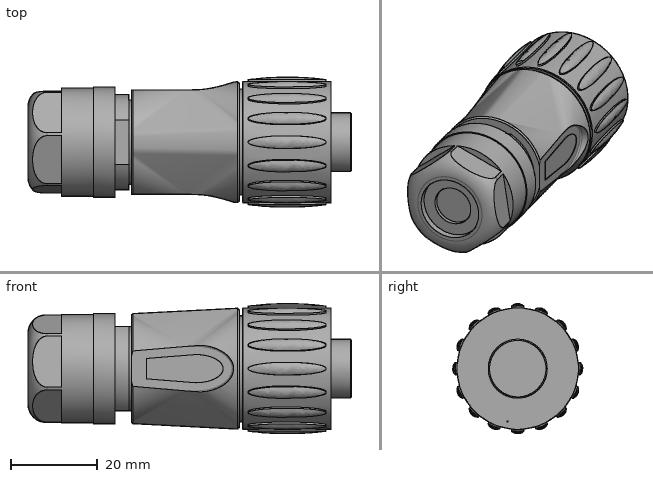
import cadquery as cq
import math


nut_hex_end = 7.74
nut_body_end = 15.1
nut_collar_end = 20.1
neck_end = 23.3
shell_start = 23.84
shell_end = 48.8
ring_start = 49.4
ring_end = 69.9
overall_length = 74.6

nut_radius = 25.0 / 2
nut_collar_radius = 25.5 / 2
hex_across_flats = 22.0
hex_flat_angle = 51.5
nose_radius = 4.4
bore_radius = 14.5 / 2
bore_depth = 1.7
seal_hole_radius = 9.0 / 2
seal_hole_depth = 1.0

neck_radius = 22.0 / 2
neck_across_flats = 19.5
neck_groove_radius = neck_across_flats / 2

shell_small_radius = 25.4 / 2
shell_large_radius = 28.0 / 2
shell_flare_sag = 0.28
shell_chamfer_start = 0.35
shell_chamfer_end = 0.5

window_plane = 12.03
window_half_width = 5.42
window_round_start = 39.0
window_tip = 47.4
window_floor_fillet = 0.3

frame_depth = 0.1
frame_start = 27.3
frame_start_half_width = 2.35
frame_half_width = 3.25
frame_round_start = 38.7
frame_tip = 45.0

groove_radius = 24.5 / 2
ring_radius = 28.0 / 2
ring_chamfer = 0.2
rib_count = 16
rib_length = 18.0
rib_width = 3.0
rib_center = 59.75
rib_wall_radius = 14.4
rib_tip_radius = 30.0 / 2
rib_root_depth = 1.0

spigot_radius = 13.6 / 2
spigot_chamfer = 0.3


def cylinder(x_start, x_end, radius):
    """Cylinder on the X axis between two positions."""
    return cq.Workplane("YZ", origin=(x_start, 0, 0)).circle(radius).extrude(x_end - x_start)


def revolve_about_x(profile):
    """Turn a closed XY profile about the X axis."""
    return profile.revolve(360, (0, 0, 0), (1, 0, 0))


def make_nut():
    nose_flat_radius = nut_radius - nose_radius
    nose_mid = nose_radius * (1 - math.sqrt(0.5))
    turned_nose = revolve_about_x(
        cq.Workplane("XY")
        .lineTo(0, nose_flat_radius)
        .threePointArc((nose_mid, nut_radius - nose_mid), (nose_radius, nut_radius))
        .lineTo(nut_hex_end, nut_radius)
        .lineTo(nut_hex_end, 0)
        .close()
    )
    hexagon = (
        cq.Workplane("YZ")
        .polygon(6, hex_across_flats, circumscribed=True)
        .extrude(nut_hex_end)
        .rotate((0, 0, 0), (1, 0, 0), hex_flat_angle)
    )
    nut = turned_nose.intersect(hexagon)
    nut = nut.union(cylinder(nut_hex_end, nut_body_end, nut_radius))
    nut = nut.union(cylinder(nut_body_end, nut_collar_end, nut_collar_radius))
    nut = nut.cut(cylinder(0, bore_depth, bore_radius))
    return nut.cut(cylinder(bore_depth, bore_depth + seal_hole_depth, seal_hole_radius))


def make_neck():
    neck = cylinder(nut_collar_end, neck_end, neck_radius)
    flats = cq.Workplane("XY").box(2 * overall_length, 2 * neck_radius, neck_across_flats)
    return neck.intersect(flats).union(cylinder(neck_end, shell_start, neck_groove_radius))


def window_cutter():
    """Everything outside the flat on the -Y side, within the window outline.

    The inner rim is rounded, which leaves a fillet where the end wall meets the flat.
    """
    return (
        cq.Workplane("XZ", origin=(0, -window_plane, 0))
        .moveTo(shell_start, -window_half_width)
        .lineTo(window_round_start, -window_half_width)
        .ellipseArc(
            window_tip - window_round_start, window_half_width, -90, 90, startAtCurrent=True
        )
        .lineTo(shell_start, window_half_width)
        .close()
        .extrude(shell_large_radius - window_plane)
        .faces(">Y")
        .edges("not <X")
        .fillet(window_floor_fillet)
    )


def frame_cutter():
    return (
        cq.Workplane("XZ", origin=(0, -window_plane, 0))
        .moveTo(frame_start, -frame_start_half_width)
        .lineTo(frame_round_start, -frame_half_width)
        .ellipseArc(
            frame_tip - frame_round_start, frame_half_width, -90, 90, startAtCurrent=True
        )
        .lineTo(frame_start, frame_start_half_width)
        .close()
        .extrude(-frame_depth)
    )


def make_shell():
    mid_x = (shell_start + shell_end) / 2
    mid_radius = (shell_small_radius + shell_large_radius) / 2 - shell_flare_sag
    shell = revolve_about_x(
        cq.Workplane("XY")
        .moveTo(shell_start, 0)
        .lineTo(shell_start, shell_small_radius)
        .threePointArc((mid_x, mid_radius), (shell_end, shell_large_radius))
        .lineTo(shell_end, 0)
        .close()
    )
    window = window_cutter()
    shell = shell.faces("<X").chamfer(shell_chamfer_start)
    shell = shell.faces(">X").chamfer(shell_chamfer_end)
    return shell.cut(window).cut(window.mirror("XZ")).cut(frame_cutter())


def make_rib():
    """One grip rib on the +Z side: an elliptic wall whose top is domed by an ellipsoid.

    The ellipsoid is round about its long axis. Its section at the top of the wall is the
    rib outline, and its crown is at the rib tip.
    """
    half_length = rib_length / 2
    half_width = rib_width / 2
    root_radius = ring_radius - rib_root_depth
    dome_height = rib_tip_radius - rib_wall_radius
    dome_radius = (half_width**2 + dome_height**2) / (2 * dome_height)
    dome_half_length = half_length * dome_radius / half_width

    wall = (
        cq.Workplane("XY", origin=(0, 0, root_radius))
        .ellipse(half_length, half_width)
        .extrude(rib_tip_radius - root_radius)
    )
    ellipsoid = revolve_about_x(
        cq.Workplane("XY")
        .moveTo(dome_half_length, 0)
        .ellipseArc(dome_half_length, dome_radius, 0, 180, startAtCurrent=True)
        .close()
    ).translate((0, 0, rib_tip_radius - dome_radius))
    return wall.intersect(ellipsoid).translate((rib_center, 0, 0))


def make_coupling_ring():
    ring = cylinder(ring_start, ring_end, ring_radius).faces("<X").chamfer(ring_chamfer)
    rib = make_rib()
    for index in range(rib_count):
        ring = ring.union(rib.rotate((0, 0, 0), (1, 0, 0), index * 360 / rib_count))
    return ring.union(cylinder(shell_end, ring_start, groove_radius))


def make_spigot():
    return cylinder(ring_end, overall_length, spigot_radius).faces(">X").chamfer(spigot_chamfer)


result = make_nut()
for section in (make_neck(), make_shell(), make_coupling_ring(), make_spigot()):
    result = result.union(section)